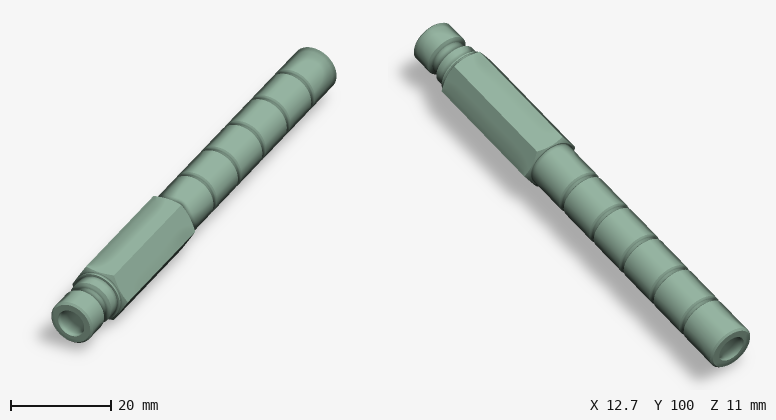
import cadquery as cq
import math

length = 100.0
bore_radius = 6.0 / 2
end_chamfer = 0.4

stem_radius = 10.0 / 2
groove_count = 5
groove_pitch = 10.0
groove_floor_radius = 9.0 / 2
groove_width = 1.5
groove_flank = 0.4

hex_flats = 11.0
hex_corner_radius = hex_flats / math.sqrt(3)
hex_back = 40.0
bevel_slope = math.tan(math.radians(30))
back_face_radius = 10.6 / 2

undercut_section_radius = 0.25
hex_front = 11.2
collar_radius = 10.6 / 2
collar_front = 10.4
plug_radius = 9.5 / 2
neck_radius = 7.7 / 2
neck_front = 5.0
neck_back = 7.9
neck_flank = 0.5


def revolve_about_y(profile):
    """Revolve (radius, Y) points, closed along the axis, about the Y axis."""
    outline = [(0, profile[0][1])] + profile + [(0, profile[-1][1])]
    return cq.Workplane("XY").polyline(outline).close().revolve(360, (0, 0, 0), (0, 1, 0))


def make_plug():
    return revolve_about_y([
        (plug_radius - end_chamfer, 0),
        (plug_radius, end_chamfer),
        (plug_radius, neck_front),
        (neck_radius, neck_front + neck_flank),
        (neck_radius, neck_back - neck_flank),
        (plug_radius, neck_back),
        (plug_radius, collar_front),
        (collar_radius, collar_front),
        (collar_radius, hex_front),
    ])


def make_undercut():
    """Ring that hollows the collar next to the grip."""
    return (
        cq.Workplane("XY")
        .center(collar_radius, hex_front - undercut_section_radius)
        .circle(undercut_section_radius)
        .revolve(360, (-collar_radius, 0, 0), (-collar_radius, 1, 0))
    )


def make_grip():
    """Hexagonal bar whose ends are trimmed by 30 degree cones."""
    bar = (
        cq.Workplane("XZ", origin=(0, hex_front, 0))
        .polygon(6, 2 * hex_corner_radius)
        .extrude(hex_front - hex_back)
    )
    front_bevel = (hex_corner_radius - collar_radius) * bevel_slope
    back_bevel = (hex_corner_radius - back_face_radius) * bevel_slope
    envelope = revolve_about_y([
        (collar_radius, hex_front),
        (hex_corner_radius, hex_front + front_bevel),
        (hex_corner_radius, hex_back - back_bevel),
        (back_face_radius, hex_back),
    ])
    return bar.intersect(envelope)


def make_stem():
    profile = [(stem_radius, hex_back)]
    for index in range(groove_count, 0, -1):
        center = length - index * groove_pitch
        front = center - groove_width / 2
        back = center + groove_width / 2
        profile += [
            (stem_radius, front),
            (groove_floor_radius, front + groove_flank),
            (groove_floor_radius, back - groove_flank),
            (stem_radius, back),
        ]
    profile += [(stem_radius, length - end_chamfer), (stem_radius - end_chamfer, length)]
    return revolve_about_y(profile)


bore = cq.Workplane("XZ").circle(bore_radius).extrude(-length)
result = make_plug().cut(make_undercut()).union(make_grip()).union(make_stem()).cut(bore)